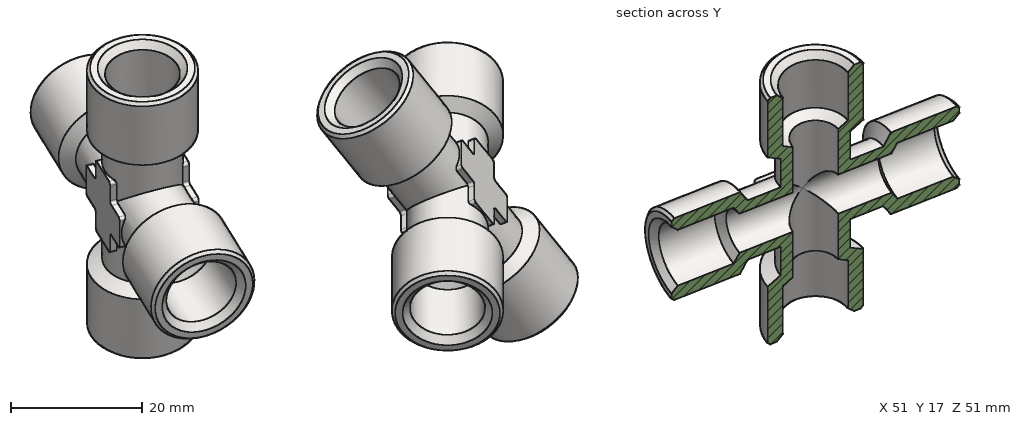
import cadquery as cq
import math

span = 51.0
half_span = span / 2

collar_radius = 17.0 / 2
neck_radius = 12.4 / 2
neck_end = 12.0
collar_back_angle = 30.0
rim_chamfer = 0.5
collar_back = neck_end + (collar_radius - neck_radius) * math.tan(math.radians(collar_back_angle))

passage_radius = 8.0 / 2
socket_radius = 11.45 / 2
countersink_radius = 13.7 / 2
countersink_half_angle = 45.0
socket_depth = 11.0
drill_point_angle = 118.0
countersink_depth = (countersink_radius - socket_radius) / math.tan(math.radians(countersink_half_angle))
socket_floor = half_span - socket_depth
cone_end = socket_floor - (socket_radius - passage_radius) / math.tan(math.radians(drill_point_angle / 2))

pad_span = 14.0
pad_arm_width = 6.0
pad_face_distance = 13.0
pad_corner_radius = 0.5

BRANCH_ANGLES = (0, 90, 180, 270)


def revolve_about_z(outline):
    """Revolve a closed (radius, z) outline about the Z axis."""
    return cq.Workplane("XZ").polyline(outline).close().revolve(360, (0, 0), (0, 1))


def branch_body():
    """Solid upward branch, from the hub centre to the rim."""
    return revolve_about_z([
        (0, 0),
        (neck_radius, 0),
        (neck_radius, neck_end),
        (collar_radius, collar_back),
        (collar_radius, half_span - rim_chamfer),
        (collar_radius - rim_chamfer, half_span),
        (0, half_span),
    ])


def branch_bore():
    """Hollow of the upward branch, from the hub centre to the rim."""
    return revolve_about_z([
        (0, 0),
        (passage_radius, 0),
        (passage_radius, cone_end),
        (socket_radius, socket_floor),
        (socket_radius, half_span - countersink_depth),
        (countersink_radius, half_span),
        (0, half_span),
    ])


def hub_pads():
    """Cross-shaped block whose two faces stand proud of the necks."""
    upright = cq.Workplane("XY").box(pad_arm_width, pad_face_distance, pad_span)
    level = cq.Workplane("XY").box(pad_span, pad_face_distance, pad_arm_width)
    return upright.union(level).edges("|Y").fillet(pad_corner_radius)


def four_branches(shape):
    """Join four copies of an upward branch, turned about the Y axis."""
    joined = shape
    for angle in BRANCH_ANGLES[1:]:
        joined = joined.union(shape.rotate((0, 0, 0), (0, 1, 0), angle))
    return joined


result = four_branches(branch_body()).union(hub_pads()).cut(four_branches(branch_bore()))